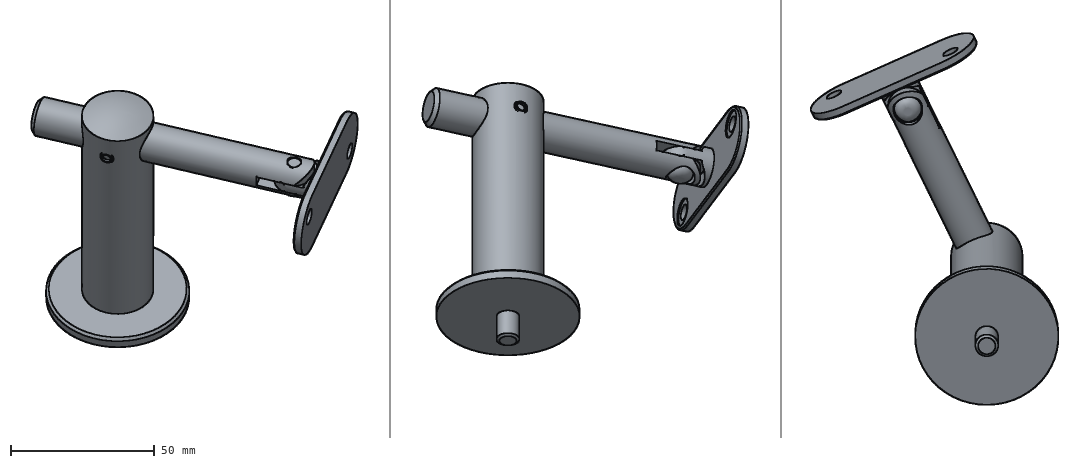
import cadquery as cq
import math


arm_radius = 7.0
arm_height = 79.9
arm_tail_length = 30.0
arm_tail_chamfer = 1.5
hinge_x = 65.0
slot_start_x = 53.2
slot_width = 4.0

post_radius = 12.5
post_edge_height = 89.1
post_top_height = 91.8
disc_radius = 25.1
disc_thickness = 4.0
disc_chamfer = 1.0
stud_radius = 4.0
stud_projection = 10.0
stud_depth_in_post = 10.8
stud_chamfer_radial = 1.0
stud_chamfer_axial = 0.6

plate_length = 63.0
plate_height = 25.1
plate_thickness = 3.0
plate_chamfer = 0.5
plate_end_x = 78.0
plate_face_x = plate_end_x - plate_thickness
boss_hollow_radius = 8.5
plate_hole_radius = 2.8
plate_counterbore_radius = 5.0
plate_counterbore_depth = 0.5
plate_hole_offset_y = 22.5
plate_hole_offset_z = 5.0

pin_radius = 2.5
pin_top_above_axis = 6.2
pin_head_radius = 4.8
pin_seat_below_axis = 4.0
pin_end_below_axis = 7.5
pin_head_rounding = 3.2
pin_head_pocket_radius = 5.1

screw_radius = 2.5
screw_chamfer = 0.5
screw_face_y = -post_radius
socket_radius = 1.6
socket_depth = 1.1


def upright_cylinder(radius, bottom, top, x=0.0):
    return cq.Workplane("XY", origin=(x, 0, bottom)).circle(radius).extrude(top - bottom)


def rod_along_arm(start_x, end_x):
    """Length of the arm's round bar from start_x to end_x."""
    return cq.Workplane("YZ", origin=(start_x, 0, arm_height)).circle(arm_radius).extrude(end_x - start_x)


def hinge_slab(start_x, end_x):
    """Flat slab through the middle of the arm, as thick as the hinge slot."""
    slab_length = end_x - start_x
    slab_center = (start_x + slab_length / 2, 0, arm_height)
    return cq.Workplane("XY", origin=slab_center).box(slab_length, 2 * arm_radius, slot_width)


def hinge_cylinder(radius):
    """Upright cylinder about the hinge axis, taller than the arm."""
    return upright_cylinder(radius, arm_height - 2 * arm_radius, arm_height + 2 * arm_radius, hinge_x)


def make_stud():
    body_start = stud_chamfer_axial - stud_projection
    top = disc_thickness + stud_depth_in_post
    return (
        cq.Workplane("XZ")
        .moveTo(0, -stud_projection)
        .lineTo(stud_radius - stud_chamfer_radial, -stud_projection)
        .lineTo(stud_radius, body_start)
        .lineTo(stud_radius, top)
        .lineTo(0, top)
        .close()
        .revolve(360, (0, 0, 0), (0, 1, 0))
    )


def make_base_disc():
    disc = upright_cylinder(disc_radius, 0, disc_thickness).faces(">Z").chamfer(disc_chamfer)
    return disc.cut(upright_cylinder(stud_radius, 0, disc_thickness))


def screw_blank(inner_y):
    """Chamfered bar of the set screw, from its outer face in to inner_y."""
    return (
        cq.Workplane("XZ", origin=(0, inner_y, arm_height))
        .circle(screw_radius)
        .extrude(inner_y - screw_face_y)
        .faces("<Y")
        .chamfer(screw_chamfer)
    )


def make_post():
    """Round post with a domed top, bored for the arm, the stud and the set screw."""
    rise = post_top_height - post_edge_height
    dome_radius = (post_radius**2 + rise**2) / (2 * rise)
    half_radius = post_radius / 2
    dome_center = post_top_height - dome_radius
    dome_midpoint = (half_radius, dome_center + math.sqrt(dome_radius**2 - half_radius**2))
    post = (
        cq.Workplane("XZ")
        .moveTo(0, disc_thickness)
        .lineTo(post_radius, disc_thickness)
        .lineTo(post_radius, post_edge_height)
        .threePointArc(dome_midpoint, (0, post_top_height))
        .close()
        .revolve(360, (0, 0, 0), (0, 1, 0))
    )
    stud_hole = upright_cylinder(stud_radius, disc_thickness, disc_thickness + stud_depth_in_post)
    return post.cut(rod_along_arm(-post_radius, post_radius)).cut(stud_hole).cut(screw_blank(0))


def make_arm():
    """Round bar whose rounded +X end is slotted into a fork for the hinge."""
    tip_x = hinge_x + arm_radius
    bar = rod_along_arm(-arm_tail_length, tip_x).faces("<X").chamfer(arm_tail_chamfer)
    beyond_hinge = rod_along_arm(hinge_x, tip_x)
    fork_tip = beyond_hinge.intersect(hinge_cylinder(arm_radius))
    arm = bar.cut(beyond_hinge).union(fork_tip)
    arm = arm.cut(hinge_slab(slot_start_x, tip_x))
    head_pocket = upright_cylinder(
        pin_head_pocket_radius, arm_height - arm_radius, arm_height - pin_seat_below_axis, hinge_x
    )
    return arm.cut(hinge_cylinder(pin_radius)).cut(head_pocket)


def make_mounting_plate():
    """Round-ended plate with two counterbored holes, a hollowed boss and a hinge tongue."""
    plate = (
        cq.Workplane("YZ", origin=(plate_face_x, 0, arm_height))
        .slot2D(plate_length, plate_height)
        .extrude(plate_thickness)
        .faces("<X")
        .chamfer(plate_chamfer)
    )
    hole_places = [
        (plate_hole_offset_y, -plate_hole_offset_z),
        (-plate_hole_offset_y, plate_hole_offset_z),
    ]
    face = cq.Workplane("YZ", origin=(plate_face_x, 0, arm_height)).pushPoints(hole_places)
    plate = plate.cut(face.circle(plate_hole_radius).extrude(plate_thickness))
    plate = plate.cut(face.circle(plate_counterbore_radius).extrude(plate_counterbore_depth))

    tongue_start_x = hinge_x - arm_radius
    tongue_slab = hinge_slab(tongue_start_x, plate_face_x)
    beside_tongue = hinge_cylinder(boss_hollow_radius).cut(tongue_slab)
    before_hinge = rod_along_arm(tongue_start_x, hinge_x)
    tongue_end = before_hinge.cut(hinge_cylinder(arm_radius))
    knuckle = rod_along_arm(tongue_start_x, plate_face_x).cut(beside_tongue).cut(tongue_end)
    return plate.union(knuckle).cut(hinge_cylinder(pin_radius))


def make_hinge_pin():
    """Pin with a rounded head that sits in the pocket under the arm."""
    seat_height = arm_height - pin_seat_below_axis
    end_height = arm_height - pin_end_below_axis
    shank = upright_cylinder(pin_radius, seat_height, arm_height + pin_top_above_axis, hinge_x)
    head = (
        upright_cylinder(pin_head_radius, end_height, seat_height, hinge_x)
        .faces("<Z")
        .edges()
        .fillet(pin_head_rounding)
    )
    return shank.union(head)


def make_set_screw():
    """Headless screw with a round socket; its inner end rests on the arm."""
    socket = (
        cq.Workplane("XZ", origin=(0, screw_face_y + socket_depth, arm_height))
        .circle(socket_radius)
        .extrude(socket_depth)
    )
    return screw_blank(-arm_radius).cut(socket)


stud = make_stud()
base_disc = make_base_disc()
post = make_post()
arm = make_arm()
mounting_plate = make_mounting_plate()
hinge_pin = make_hinge_pin()
set_screw = make_set_screw()

result = cq.Compound.makeCompound(
    [
        stud.val(),
        base_disc.val(),
        post.val(),
        arm.val(),
        mounting_plate.val(),
        hinge_pin.val(),
        set_screw.val(),
    ]
)